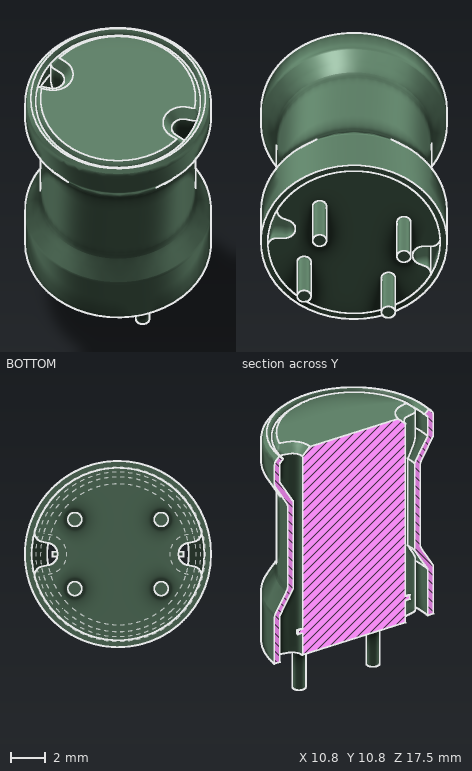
import cadquery as cq
import math

sleeve_diameter = 10.8
waist_diameter = 9.0
wall = 0.4
body_height = 14.0

lower_flange_height = 3.27
upper_flange_height = 12.08
taper_angle = math.radians(30)
flange_fillet = 0.4
waist_fillet = 0.8
core_chamfer = 0.5

slot_radius = 0.65
slot_offset = 4.15
slot_flare = math.radians(12)
mouth_fillet = 0.52

lead_diameter = 0.3
lead_reach = 3.8
lead_height = lower_flange_height / 2

pin_diameter = 0.8
pin_length = 3.5
pin_spacing_x = 5.0
pin_spacing_y = 4.0

edge_margin = 0.02

sleeve_radius = sleeve_diameter / 2
waist_radius = waist_diameter / 2
core_radius = sleeve_radius - wall
core_waist_radius = waist_radius - wall
taper_height = (sleeve_radius - waist_radius) / math.tan(taper_angle)
taper_shift = wall * math.tan(taper_angle / 2)
rim_angle = math.radians(45)
rim_shift = wall * math.tan(rim_angle / 2)
wall_step = wall * math.sin(rim_angle)


def revolve_profile(points):
    """Solid of revolution about Z from (radius, height) points."""
    return cq.Workplane("XZ").polyline(points).close().revolve(360, (0, 0), (0, 1))


def fillet_ring(body, radius, height, fillet):
    """Fillet the circular edge with the given radius and height."""
    ring = cq.selectors.BoxSelector(
        (-radius, -radius, height - edge_margin), (radius, radius, height + edge_margin)
    )
    return body.edges("%CIRCLE").edges(ring).fillet(fillet)


def taper_heights(shift):
    """Heights of the four corners of the tapers, moved by shift toward the flange bands."""
    return (
        lower_flange_height - shift,
        lower_flange_height + taper_height - shift,
        upper_flange_height - taper_height + shift,
        upper_flange_height + shift,
    )


def make_drum():
    """Drum shape inside the sleeve, with a sharp top edge."""
    low_flange, low_waist, high_waist, high_flange = taper_heights(taper_shift)
    return revolve_profile([
        (0, 0),
        (core_radius, 0),
        (core_radius, low_flange),
        (core_waist_radius, low_waist),
        (core_waist_radius, high_waist),
        (core_radius, high_flange),
        (core_radius, body_height),
        (0, body_height),
    ])


def make_sleeve():
    """Thin sleeve that follows the drum and curls over its top chamfer."""
    low_flange, low_waist, high_waist, high_flange = taper_heights(0)
    rim_corner = body_height - core_chamfer + rim_shift
    rim_radius = sleeve_radius - (body_height - rim_corner)
    outside = revolve_profile([
        (0, 0),
        (sleeve_radius, 0),
        (sleeve_radius, low_flange),
        (waist_radius, low_waist),
        (waist_radius, high_waist),
        (sleeve_radius, high_flange),
        (sleeve_radius, rim_corner),
        (rim_radius, body_height),
        (rim_radius - wall_step, body_height - wall_step),
        (0, body_height - wall_step),
    ])
    for height in (low_flange, high_flange, rim_corner):
        outside = fillet_ring(outside, sleeve_radius, height, flange_fillet)
    for height in (low_waist, high_waist):
        outside = fillet_ring(outside, waist_radius, height, waist_fillet)
    filling = make_drum().faces(">Z").edges().chamfer(core_chamfer)
    return outside.cut(filling)


def make_slot_cutter():
    """Full-height slot on the +X side, round inside and flaring outward."""
    tangent_x = slot_offset - slot_radius * math.sin(slot_flare)
    tangent_y = slot_radius * math.cos(slot_flare)
    mouth_x = sleeve_radius
    mouth_y = tangent_y + (mouth_x - tangent_x) * math.tan(slot_flare)
    return (
        cq.Workplane("XY")
        .moveTo(mouth_x, -mouth_y)
        .lineTo(tangent_x, -tangent_y)
        .threePointArc((slot_offset - slot_radius, 0), (tangent_x, tangent_y))
        .lineTo(mouth_x, mouth_y)
        .close()
        .extrude(body_height)
    )


def make_slotted_cylinder():
    """Cylinder with both slots, rounded slot mouths and a chamfer all around its top."""
    cylinder = cq.Workplane("XY").circle(core_radius).extrude(body_height)
    for angle in (0, 180):
        cylinder = cylinder.cut(make_slot_cutter().rotate((0, 0, 0), (0, 0, 1), angle))
    for side in ("<X", ">X"):
        cylinder = cylinder.edges("|Z").edges(side).fillet(mouth_fillet)
    return cylinder.faces(">Z").edges().chamfer(core_chamfer)


def make_lead():
    """Radial wire on the +X side, from the axis to its tip in the slot."""
    return (
        cq.Workplane("YZ", origin=(0, 0, lead_height))
        .circle(lead_diameter / 2)
        .extrude(lead_reach)
    )


def make_pins():
    """Four pins that hang from the bottom of the core."""
    return (
        cq.Workplane("XY")
        .rect(pin_spacing_x, pin_spacing_y, forConstruction=True)
        .vertices()
        .circle(pin_diameter / 2)
        .extrude(-pin_length)
    )


def make_core():
    """Slotted drum with its pins and winding leads."""
    core = make_drum().intersect(make_slotted_cylinder())
    for angle in (0, 180):
        core = core.union(make_lead().rotate((0, 0, 0), (0, 0, 1), angle))
    return core.union(make_pins())


core = make_core()
sleeve = make_sleeve()
result = cq.Compound.makeCompound([core.solids().val(), sleeve.solids().val()])